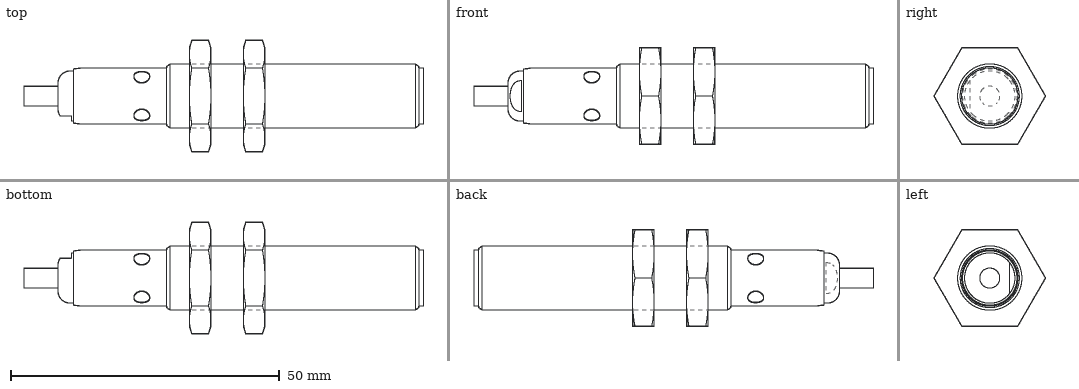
import cadquery as cq
import math

total_length = 74.4
dome_start = 6.3
flat_end = 8.85
barrel_start = 9.2
barrel_chamfer_end = 10.6
window_position = 21.95
barrel_end = 26.55
end_cap_length = 0.9
sleeve_chamfer = 0.7

cable_diameter = 3.7
dome_diameter = 9.4
barrel_face_diameter = 10.1
barrel_diameter = 10.5
sleeve_face_diameter = 11.0
sleeve_diameter = 12.0

dome_fillet = 2.3
flat_distance = 3.7
window_diameter = 3.0
window_depth = 0.15
window_count = 4
first_window_angle = 45.0

nut_width_across_flats = 18.0
nut_thickness = 4.0
nut_chamfer_depth = 0.45
nut_count = 2
first_nut_start = 30.8
nut_pitch = 10.05

mid_x = total_length / 2


def make_sensor_blank():
    """Revolve the stepped profile of cable, dome, barrel and threaded sleeve about X."""
    sleeve_end = total_length - end_cap_length
    arc_start_radius = dome_diameter / 2 - dome_fillet
    arc_offset = dome_fillet * math.sqrt(0.5)
    arc_center_x = dome_start + dome_fillet
    return (
        cq.Workplane("XY")
        .moveTo(0, 0)
        .lineTo(0, cable_diameter / 2)
        .lineTo(dome_start, cable_diameter / 2)
        .lineTo(dome_start, arc_start_radius)
        .threePointArc(
            (arc_center_x - arc_offset, arc_start_radius + arc_offset),
            (arc_center_x, dome_diameter / 2),
        )
        .lineTo(barrel_start, dome_diameter / 2)
        .lineTo(barrel_start, barrel_face_diameter / 2)
        .lineTo(barrel_chamfer_end, barrel_diameter / 2)
        .lineTo(barrel_end, barrel_diameter / 2)
        .lineTo(barrel_end, sleeve_face_diameter / 2)
        .lineTo(barrel_end + sleeve_chamfer, sleeve_diameter / 2)
        .lineTo(sleeve_end - sleeve_chamfer, sleeve_diameter / 2)
        .lineTo(sleeve_end, sleeve_face_diameter / 2)
        .lineTo(sleeve_end, barrel_diameter / 2)
        .lineTo(total_length, barrel_diameter / 2)
        .lineTo(total_length, 0)
        .close()
        .revolve(360, (0, 0, 0), (1, 0, 0))
    )


def make_dome_flat_cutter():
    """Block that leaves a flat on the -Y side of the dome."""
    return cq.Workplane("XY").box(
        flat_end - dome_start, dome_diameter, dome_diameter, centered=(False, False, True)
    ).translate((dome_start, -flat_distance - dome_diameter, 0))


def make_window_cutter(angle):
    """Radial cylinder ending in a floor concentric with the barrel, for one shallow round window."""
    floor_cylinder = (
        cq.Workplane("YZ", origin=(window_position - window_diameter, 0, 0))
        .circle(barrel_diameter / 2 - window_depth)
        .extrude(2 * window_diameter)
    )
    return (
        cq.Workplane("XY", origin=(window_position, 0, 0))
        .circle(window_diameter / 2)
        .extrude(barrel_diameter)
        .cut(floor_cylinder)
        .rotate((0, 0, 0), (1, 0, 0), angle)
    )


def make_sensor():
    sensor = make_sensor_blank().cut(make_dome_flat_cutter())
    for index in range(window_count):
        angle = first_window_angle + index * 360 / window_count
        sensor = sensor.cut(make_window_cutter(angle))
    return sensor


def make_nut(start):
    """Hexagonal nut with corners bevelled by a cone at each face, bored to fit the sleeve."""
    corner_radius = nut_width_across_flats / math.sqrt(3)
    face_radius = nut_width_across_flats / 2
    bore_radius = sleeve_diameter / 2
    hexagon = (
        cq.Workplane("YZ", origin=(start, 0, 0))
        .polygon(6, 2 * corner_radius)
        .extrude(nut_thickness)
    )
    end = start + nut_thickness
    bevelled_ring = (
        cq.Workplane("XY")
        .polyline([
            (start, bore_radius),
            (start, face_radius),
            (start + nut_chamfer_depth, corner_radius),
            (end - nut_chamfer_depth, corner_radius),
            (end, face_radius),
            (end, bore_radius),
        ])
        .close()
        .revolve(360, (0, 0, 0), (1, 0, 0))
    )
    return hexagon.intersect(bevelled_ring)


sensor = make_sensor().translate((-mid_x, 0, 0))
nuts = [
    make_nut(first_nut_start + index * nut_pitch - mid_x)
    for index in range(nut_count)
]

result = cq.Compound.makeCompound([sensor.val(), *[nut.val() for nut in nuts]])